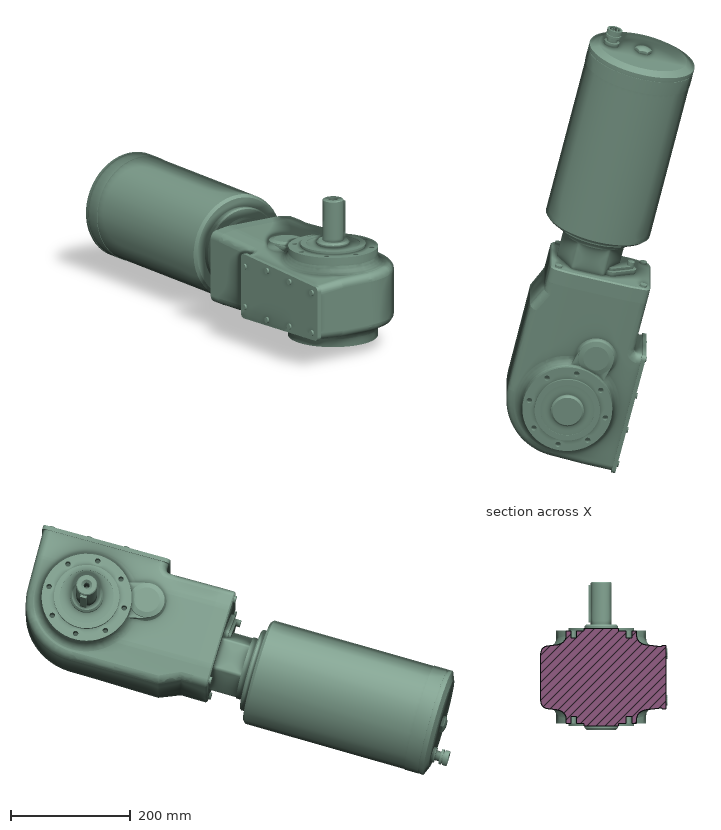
import cadquery as cq
import math


motor_back = 28.0
motor_radius = 89.5
cap_radius = 90.0
cap_face_radius = 76.0
cap_bevel_end = 34.0
cap_groove_start = 39.5
cap_groove_end = 42.5
cap_groove_depth = 1.0
cap_end = 66.0
motor_front = 348.0
motor_bevel = 4.5
pilot_radius = 70.0
pilot_front = 359.0
pilot_bevel = 2.0
collar_radius = 53.0
collar_front = 369.0

plug_y = 54.5
plug_head_radius = 13.0
plug_neck_radius = 8.0
plug_head_length = 14.0
plug_neck_length = 8.0
plug_groove_start = 7.5
plug_groove_width = 2.0
plug_groove_depth = 2.0
plug_bore_diameter = 18.0
plug_bore_depth = 7.0
plug_pin_diameter = 2.6
plug_pin_circle = 10.0
plug_pin_count = 5
vent_flats = 25.0
vent_height = 9.0
vent_dome_radius = 25.0

neck_flats = 92.5
neck_edge_radius = 5.0

box_back = 417.0
output_x = 651.5
output_y = -23.0
nose_radius = 102.0
box_half_width = 86.0
shoulder_start = 462.0
shoulder_end = 497.0
foot_left = 539.0
foot_bottom = -130.5
foot_right = 757.0
inner_corner_radius = 7.5
box_edge_radius = 13.0
box_back_bevel = 2.0
crest_half_width = 52.0
crest_blend_radius = 61.0
taper_start = 444.0
crest_height = 65.0
crest_height_right = 49.0
side_height = 57.0
side_height_right = 45.0

foot_plate_thickness = 7.0
foot_plate_left = 538.0
foot_plate_right = 758.5
foot_height_left = 56.0
foot_height_right = 46.0
foot_corner_radius = 7.5
screw_diameter = 10.0
screw_height = 3.0
screw_pitch = 64.5
screw_first_x = 550.0
screw_heights = (35.0, 42.5, 39.0, 35.0)

end_screw_diameter = 12.0
end_screw_height = 4.0
end_screw_y = 73.0
end_screw_z = 51.5
cover_thickness = 12.0
cover_apex_y = -70.5
cover_base_y = -38.0
cover_base_z = 29.0
cover_corner_radius = 11.0
cover_rim_width = 5.0
cover_step = 4.5
cover_screw_diameter = 12.0
cover_screw_height = 7.0

flange_radius = 75.0
flange_face = 77.0
flange_fillet = 13.0
step_radius = 54.5
step_face = 82.0
recess_diameter = 90.0
recess_depth = 1.0
hub_diameter = 55.0
hub_face = 88.0
hub_bevel = 3.0
flange_hole_reach = 65.0
flange_hole_diameter = 9.0
flange_hole_depth = 11.0
flange_hole_count = 8

pad_x = 554.5
pad_y = -48.5
pad_radius = 21.0
pad_face = 71.0
pad_flare = 12.0
pad_bevel_width = 8.0
pad_bevel_height = 2.0
web_width = 61.0
web_face = 67.0

shaft_diameter = 35.0
shaft_top = 158.5
shaft_bevel = 1.5
center_hole_diameter = 10.0
center_sink_diameter = 18.0
center_hole_depth = 30.0
center_sink_angle = 90
key_width = 10.5
key_height = 4.0
key_bottom = 91.0
key_top = 153.0

match_tolerance = 0.15


def cylinder_x(x, y, z, diameter, length):
    """Cylinder along +X that starts at x."""
    return cq.Workplane("YZ", origin=(x, y, z)).circle(diameter / 2).extrude(length)


def cylinder_z(x, y, z, diameter, length):
    """Cylinder along Z that starts at z."""
    return cq.Workplane("XY", origin=(x, y, z)).circle(diameter / 2).extrude(length)


def motor():
    groove_radius = cap_radius - cap_groove_depth
    profile = [
        (motor_back, 0),
        (motor_back, cap_face_radius),
        (cap_bevel_end, cap_radius),
        (cap_groove_start, cap_radius),
        (cap_groove_start, groove_radius),
        (cap_groove_end, groove_radius),
        (cap_groove_end, cap_radius),
        (cap_end, cap_radius),
        (cap_end, motor_radius),
        (motor_front - motor_bevel, motor_radius),
        (motor_front, motor_radius - motor_bevel),
        (motor_front, pilot_radius),
        (pilot_front - pilot_bevel, pilot_radius),
        (pilot_front, pilot_radius - pilot_bevel),
        (pilot_front, collar_radius),
        (collar_front, collar_radius),
        (collar_front, 0),
    ]
    return cq.Workplane("XY").polyline(profile).close().revolve(360, (0, 0, 0), (1, 0, 0))


def plug_socket():
    """Round connector on the motor's rear face, with pins in its bore."""
    neck_end = plug_head_length + plug_neck_length
    head = cylinder_x(0, plug_y, 0, 2 * plug_head_radius, plug_head_length)
    groove = cylinder_x(plug_groove_start, plug_y, 0, 2 * plug_head_radius, plug_groove_width)
    groove = groove.cut(
        cylinder_x(0, plug_y, 0, 2 * (plug_head_radius - plug_groove_depth), plug_head_length)
    )
    neck = cylinder_x(plug_groove_start, plug_y, 0, 2 * plug_neck_radius, motor_back - plug_groove_start)
    base = cylinder_x(neck_end, plug_y, 0, 2 * plug_head_radius, motor_back - neck_end)
    bore = cylinder_x(0, plug_y, 0, plug_bore_diameter, plug_bore_depth)
    pins = (
        cq.Workplane("YZ", origin=(0, plug_y, 0))
        .polarArray(plug_pin_circle / 2, 0, 360, plug_pin_count)
        .circle(plug_pin_diameter / 2)
        .extrude(plug_head_length)
    )
    return head.cut(groove).union(neck).union(base).cut(bore).union(pins)


def vent_nut():
    """Hexagonal breather in the middle of the motor's rear face, corners along Y."""
    corners = vent_flats / math.cos(math.pi / 6)
    vent_back = motor_back - vent_height
    nut = cq.Workplane("YZ", origin=(vent_back, 0, 0)).polygon(6, corners).extrude(vent_height)
    dome = cq.Workplane("XY", origin=(vent_back + vent_dome_radius, 0, 0)).sphere(vent_dome_radius)
    return nut.intersect(dome)


def neck():
    corners = neck_flats / math.cos(math.pi / 6)
    return (
        cq.Workplane("YZ", origin=(collar_front, 0, 0))
        .polygon(6, corners)
        .extrude(box_back - collar_front)
        .edges("|X")
        .fillet(neck_edge_radius)
    )


def box_section(x, crest, side):
    """Housing cross-section at x: flat crest, sloping shoulders, down to the foot."""
    left = foot_bottom
    right = 2 * output_y - foot_bottom
    return cq.Wire.makePolygon(
        [
            cq.Vector(x, left, -side),
            cq.Vector(x, output_y - crest_half_width, -crest),
            cq.Vector(x, output_y + crest_half_width, -crest),
            cq.Vector(x, right, -side),
            cq.Vector(x, right, side),
            cq.Vector(x, output_y + crest_half_width, crest),
            cq.Vector(x, output_y - crest_half_width, crest),
            cq.Vector(x, left, side),
        ],
        close=True,
    )


def is_crest_edge(edge):
    """True for the long edges where the flat crest meets the sloping shoulders."""
    start, end = edge.startPoint(), edge.endPoint()
    across = [abs(abs(point.y - output_y) - crest_half_width) for point in (start, end)]
    return max(across) < match_tolerance and abs(start.x - end.x) > match_tolerance


def is_flange_root(edge):
    """True for the edges where the flange cylinders leave the housing."""
    middle = edge.positionAt(0.5)
    distance = math.hypot(middle.x - output_x, middle.y - output_y)
    return abs(distance - flange_radius) < match_tolerance and abs(middle.z) < flange_face - match_tolerance


def housing():
    """Plan outline of the gearbox, trimmed by a body that tapers towards +X."""
    box_top = output_y + box_half_width
    box_bottom = output_y - box_half_width
    plan = (
        cq.Workplane("XY", origin=(0, 0, -crest_height))
        .moveTo(box_back, box_bottom)
        .lineTo(box_back, box_top)
        .lineTo(shoulder_start, box_top)
        .lineTo(shoulder_end, output_y + nose_radius)
        .lineTo(output_x, output_y + nose_radius)
        .radiusArc((output_x + nose_radius, output_y), nose_radius)
        .lineTo(foot_right, foot_bottom)
        .lineTo(foot_left, foot_bottom)
        .lineTo(foot_left, box_bottom)
        .close()
        .extrude(2 * crest_height)
    )
    blank = cq.Workplane(
        cq.Solid.makeLoft(
            [
                box_section(box_back, crest_height, side_height),
                box_section(taper_start, crest_height, side_height),
                box_section(foot_plate_right, crest_height_right, side_height_right),
            ],
            True,
        )
    )
    taper = blank.edges().filter(is_crest_edge).fillet(crest_blend_radius)
    inner_corner = cq.selectors.NearestToPointSelector((foot_left, box_bottom, 0))
    body = plan.edges("|Z").edges(inner_corner).fillet(inner_corner_radius).intersect(taper)
    rounded = body.edges("not(|Z or <X or <Y)").fillet(box_edge_radius)
    return rounded.faces("<X").edges().chamfer(box_back_bevel)


def foot_plate():
    plate = (
        cq.Workplane("XZ", origin=(0, foot_bottom, 0))
        .polyline(
            [
                (foot_plate_left, -foot_height_left),
                (foot_plate_right, -foot_height_right),
                (foot_plate_right, foot_height_right),
                (foot_plate_left, foot_height_left),
            ]
        )
        .close()
        .extrude(-foot_plate_thickness)
        .edges("|Y")
        .fillet(foot_corner_radius)
    )
    points = []
    for index, height in enumerate(screw_heights):
        x = screw_first_x + index * screw_pitch
        points += [(x, height), (x, -height)]
    screws = (
        cq.Workplane("XZ", origin=(0, foot_bottom, 0))
        .pushPoints(points)
        .circle(screw_diameter / 2)
        .extrude(screw_height)
    )
    return plate.union(screws)


def end_screws():
    return (
        cq.Workplane("YZ", origin=(box_back - end_screw_height, output_y, 0))
        .rect(2 * end_screw_y, 2 * end_screw_z, forConstruction=True)
        .vertices()
        .circle(end_screw_diameter / 2)
        .extrude(end_screw_height)
    )


def cover_layer(x, corner_radius, length):
    """Triangle with rounded corners, centred on fixed corner points."""
    triangle = [(cover_apex_y, 0), (cover_base_y, cover_base_z), (cover_base_y, -cover_base_z)]
    return (
        cq.Workplane("YZ", origin=(x, 0, 0))
        .polyline(triangle)
        .close()
        .offset2D(corner_radius)
        .extrude(length)
    )


def side_cover():
    """Stepped triangular cover on the gearbox end, with one screw at its apex."""
    front = box_back - cover_thickness
    screw_length = cover_screw_height + cover_step
    base = cover_layer(front + cover_step, cover_corner_radius, cover_thickness - cover_step)
    raised = cover_layer(front, cover_corner_radius - cover_rim_width, cover_step)
    screw = cylinder_x(front - cover_screw_height, cover_apex_y, 0, cover_screw_diameter, screw_length)
    return base.union(raised).union(screw)


def output_flange():
    """Upper flange: cylinder with stepped face and hub."""
    hub_radius = hub_diameter / 2
    return (
        cq.Workplane("XZ", origin=(output_x, output_y, 0))
        .moveTo(0, 0)
        .lineTo(flange_radius, 0)
        .lineTo(flange_radius, flange_face)
        .lineTo(step_radius, flange_face)
        .lineTo(step_radius, step_face)
        .lineTo(recess_diameter / 2, step_face)
        .lineTo(recess_diameter / 2, step_face - recess_depth)
        .lineTo(hub_radius, step_face - recess_depth)
        .lineTo(hub_radius, hub_face - hub_bevel)
        .lineTo(hub_radius - hub_bevel, hub_face)
        .lineTo(0, hub_face)
        .close()
        .revolve(360, (0, 0, 0), (0, 1, 0))
    )


def flange_holes():
    """Ring of blind bolt holes in the upper flange."""
    return (
        cq.Workplane("XY", origin=(output_x, output_y, flange_face - flange_hole_depth))
        .polarArray(flange_hole_reach, 0, 360, flange_hole_count)
        .circle(flange_hole_diameter / 2)
        .extrude(flange_hole_depth)
    )


def side_pad():
    """Upper round pad with a flared root."""
    diagonal = pad_flare * (1 - math.sqrt(0.5))
    flare_top = pad_face - pad_bevel_height
    flare_radius_top = pad_radius + pad_bevel_width
    flare_bottom = flare_top - pad_flare
    return (
        cq.Workplane("XZ", origin=(pad_x, pad_y, 0))
        .moveTo(0, 0)
        .lineTo(flare_radius_top, 0)
        .lineTo(flare_radius_top + pad_flare, flare_bottom)
        .threePointArc(
            (flare_radius_top + diagonal, flare_bottom + diagonal),
            (flare_radius_top, flare_top),
        )
        .lineTo(pad_radius, pad_face)
        .lineTo(0, pad_face)
        .close()
        .revolve(360, (0, 0, 0), (0, 1, 0))
    )


def pad_web():
    """Upper web that joins the pad to the flange."""
    run_x = output_x - pad_x
    run_y = output_y - pad_y
    web = (
        cq.Workplane("XY")
        .rect(math.hypot(run_x, run_y), web_width)
        .extrude(web_face)
        .rotate((0, 0, 0), (0, 0, 1), math.degrees(math.atan2(run_y, run_x)))
    )
    return web.translate((pad_x + run_x / 2, pad_y + run_y / 2, 0))


def output_shaft():
    shaft = (
        cylinder_z(output_x, output_y, 0, shaft_diameter, shaft_top)
        .faces(">Z")
        .chamfer(shaft_bevel)
    )
    key_reach = shaft_diameter / 2 + key_height
    key = (
        cq.Workplane("XY", origin=(output_x, output_y + key_reach / 2, key_bottom))
        .rect(key_width, key_reach)
        .extrude(key_top - key_bottom)
    )
    return (
        shaft.union(key)
        .faces(">Z")
        .workplane(origin=(output_x, output_y, 0))
        .cskHole(center_hole_diameter, center_sink_diameter, center_sink_angle, center_hole_depth)
    )


flange_core = cylinder_z(output_x, output_y, -flange_face, 2 * flange_radius, 2 * flange_face)
gearbox = housing().union(flange_core).edges().filter(is_flange_root).fillet(flange_fillet)
for attachment in (output_flange(), side_pad(), pad_web()):
    gearbox = gearbox.union(attachment).union(attachment.mirror("XY"))
gearbox = gearbox.cut(flange_holes()).cut(flange_holes().mirror("XY"))

drive = motor().union(plug_socket()).union(vent_nut()).union(neck())
result = gearbox.union(drive)
for piece in (foot_plate(), end_screws(), side_cover(), output_shaft()):
    result = result.union(piece)